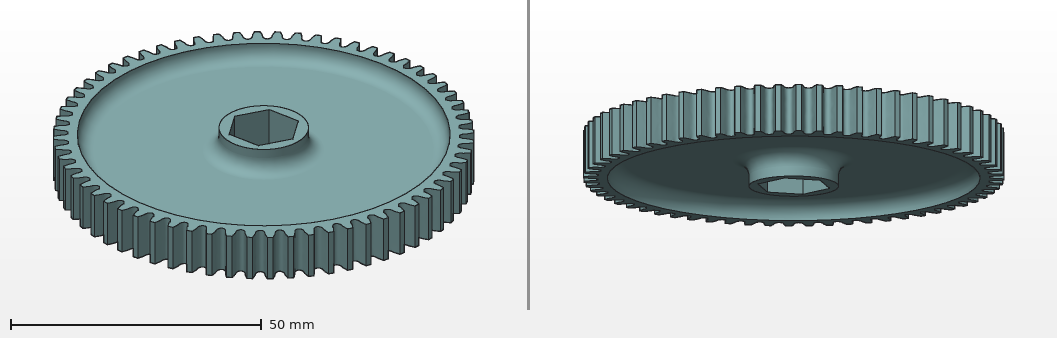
import cadquery as cq
import math

TOOTH_COUNT = 64
OUTER_SIZE = 83.8
PRESSURE_ANGLE = math.radians(14.5)
ADDENDUM_FACTOR = 1.0
DEDENDUM_FACTOR = 1.3
FLANK_START_FACTOR = 0.8
BACKLASH_FACTOR = 0.025
FACE_WIDTH = 9.5
WEB_THICKNESS = 2.3
HUB_LENGTH = 12.65
HUB_DIAMETER = 17.85
HEX_ACROSS_FLATS = 12.8
RIM_INNER_DIAMETER = 74.3
RECESS_FILLET = 3.2

FLANK_POINTS = 4

TOOTH_PITCH = 2 * math.pi / TOOTH_COUNT
PITCH_GAP_HALF_ANGLE = TOOTH_PITCH / 4 * (1 + 2 * BACKLASH_FACTOR)


def involute(angle):
    return math.tan(angle) - angle


def gap_half_angle(height):
    """Half angle of a gap at a height in modules above the pitch circle."""
    radius_ratio = TOOTH_COUNT / (TOOTH_COUNT + 2 * height)
    local_pressure = math.acos(math.cos(PRESSURE_ANGLE) * radius_ratio)
    return PITCH_GAP_HALF_ANGLE + involute(local_pressure) - involute(PRESSURE_ANGLE)


TIP_GAP_HALF_ANGLE = gap_half_angle(ADDENDUM_FACTOR)
TIP_RADIUS = OUTER_SIZE / 2 / math.cos(TIP_GAP_HALF_ANGLE)
MODULE = TIP_RADIUS / (TOOTH_COUNT / 2 + ADDENDUM_FACTOR)
PITCH_RADIUS = MODULE * TOOTH_COUNT / 2
ROOT_RADIUS = PITCH_RADIUS - DEDENDUM_FACTOR * MODULE

HUB_RADIUS = HUB_DIAMETER / 2
RIM_INNER_RADIUS = RIM_INNER_DIAMETER / 2


def polar(radius, angle):
    return (radius * math.cos(angle), radius * math.sin(angle))


def gap_points(center):
    """Points down one flank, across the root and up the next flank, going counterclockwise."""
    step = (ADDENDUM_FACTOR + FLANK_START_FACTOR) / (FLANK_POINTS - 1)
    heights = [ADDENDUM_FACTOR - i * step for i in range(FLANK_POINTS)]
    flank = [(PITCH_RADIUS + h * MODULE, gap_half_angle(h)) for h in heights]
    down = [polar(radius, center - half_angle) for radius, half_angle in flank]
    up = [polar(radius, center + half_angle) for radius, half_angle in reversed(flank)]
    return down + [polar(ROOT_RADIUS, center)] + up


def toothed_disc():
    """Solid disc with involute teeth, a tooth gap lying on the +X axis."""
    start = polar(TIP_RADIUS, -TIP_GAP_HALF_ANGLE)
    outline = cq.Workplane("XY").workplane(offset=-FACE_WIDTH / 2).moveTo(*start)
    for i in range(TOOTH_COUNT):
        gap_center = i * TOOTH_PITCH
        tooth_center = gap_center + TOOTH_PITCH / 2
        next_corner = gap_center + TOOTH_PITCH - TIP_GAP_HALF_ANGLE
        outline = outline.spline(gap_points(gap_center)[1:], includeCurrent=True)
        outline = outline.threePointArc(polar(TIP_RADIUS, tooth_center), polar(TIP_RADIUS, next_corner))
    return outline.close().extrude(FACE_WIDTH)


def upper_recess():
    """Ring removed above the web, with quarter rounds at the hub and the rim."""
    floor = WEB_THICKNESS / 2
    top = HUB_LENGTH / 2
    round_top = floor + RECESS_FILLET
    inset = RECESS_FILLET * (1 - math.sqrt(0.5))
    return (
        cq.Workplane("XZ")
        .moveTo(HUB_RADIUS, top)
        .lineTo(HUB_RADIUS, round_top)
        .threePointArc((HUB_RADIUS + inset, floor + inset), (HUB_RADIUS + RECESS_FILLET, floor))
        .lineTo(RIM_INNER_RADIUS - RECESS_FILLET, floor)
        .threePointArc((RIM_INNER_RADIUS - inset, floor + inset), (RIM_INNER_RADIUS, round_top))
        .lineTo(RIM_INNER_RADIUS, top)
        .close()
        .revolve(360, (0, 0, 0), (0, 1, 0))
    )


def hex_bore():
    """Through hexagon with two corners on the Y axis."""
    corner_diameter = HEX_ACROSS_FLATS / math.cos(math.pi / 6)
    prism = cq.Workplane("XY").polygon(6, corner_diameter).extrude(HUB_LENGTH, both=True)
    return prism.rotate((0, 0, 0), (0, 0, 1), 90)


hub = cq.Workplane("XY").circle(HUB_RADIUS).extrude(HUB_LENGTH / 2, both=True)
recess = upper_recess()
result = toothed_disc().union(hub).cut(recess).cut(recess.mirror("XY")).cut(hex_bore())